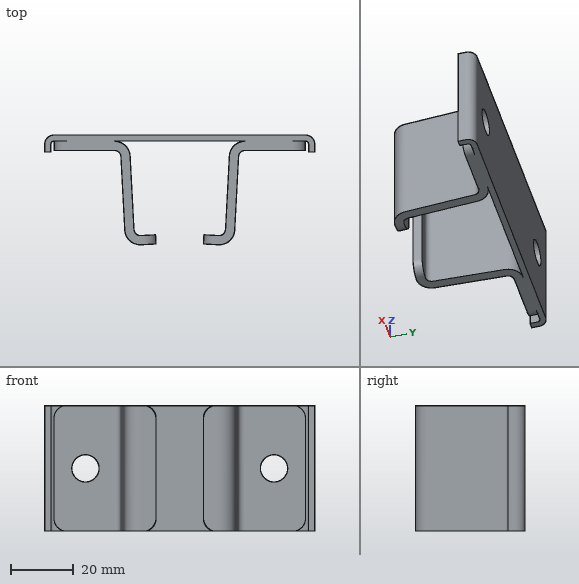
import cadquery as cq
import math

plate_width = 86.0
height = 40.0
plate_thickness = 2.0
plate_bend_inner_radius = 1.0
plate_bend_outer_radius = plate_bend_inner_radius + plate_thickness
lip_depth = 5.5

clip_thickness = 3.0
clip_bend_inner_radius = 2.0
clip_bend_outer_radius = clip_bend_inner_radius + clip_thickness
clip_corner_radius = 4.0
clip_lip_gap = 1.0
clip_front_y = -35.0
leg_tilt = math.radians(3.0)
upper_bend_x = -20.75
tip_opening = 15.0

hole_diameter = 8.6
hole_spacing = 60.0


def polar(center, radius, angle):
    """Point at the given radius and angle (radians) from a center."""
    return (center[0] + radius * math.cos(angle), center[1] + radius * math.sin(angle))


def make_plate():
    """Flat plate with rounded bends into the two end lips."""
    inner_width = plate_width - 2 * plate_thickness
    outer_block = (
        cq.Workplane("XY")
        .rect(plate_width, 2 * lip_depth)
        .extrude(height)
        .edges("|Z")
        .fillet(plate_bend_outer_radius)
        .translate((0, -lip_depth, 0))
    )
    channel = (
        cq.Workplane("XY")
        .rect(inner_width, 4 * lip_depth)
        .extrude(height)
        .edges("|Z")
        .fillet(plate_bend_inner_radius)
        .translate((0, -plate_thickness - 2 * lip_depth, 0))
    )
    depth_limit = (
        cq.Workplane("XY")
        .rect(plate_width, lip_depth)
        .extrude(height)
        .translate((0, -lip_depth / 2, 0))
    )
    return outer_block.intersect(depth_limit).cut(channel)


def make_left_clip():
    """Mounting flange, tilted leg and in-turned tip, with the free corners rounded."""
    flange_end_x = -plate_width / 2 + plate_thickness + clip_lip_gap
    flange_back_y = -plate_thickness
    flange_front_y = flange_back_y - clip_thickness

    upper = (upper_bend_x, flange_back_y - clip_bend_outer_radius)
    lower_y = clip_front_y + clip_bend_outer_radius
    center_offset = clip_bend_inner_radius + clip_bend_outer_radius
    leg_drop = upper[1] + center_offset * math.sin(leg_tilt) - lower_y
    leg_length = leg_drop / math.cos(leg_tilt)
    lower_x = upper[0] + center_offset * math.cos(leg_tilt) + leg_length * math.sin(leg_tilt)
    lower = (lower_x, lower_y)

    upper_start = math.pi / 2
    upper_end = leg_tilt
    upper_middle = (upper_start + upper_end) / 2
    lower_start = math.pi + leg_tilt
    lower_end = lower_start + math.pi / 2
    lower_middle = (lower_start + lower_end) / 2

    tip_start = polar(lower, clip_bend_outer_radius, lower_end)
    tip_length = (-tip_opening / 2 - tip_start[0]) / math.cos(leg_tilt)
    tip_front = polar(tip_start, tip_length, leg_tilt)
    tip_back = polar(tip_front, clip_thickness, leg_tilt + math.pi / 2)

    clip = (
        cq.Workplane("XY")
        .moveTo(flange_end_x, flange_back_y)
        .lineTo(*polar(upper, clip_bend_outer_radius, upper_start))
        .threePointArc(
            polar(upper, clip_bend_outer_radius, upper_middle),
            polar(upper, clip_bend_outer_radius, upper_end),
        )
        .lineTo(*polar(lower, clip_bend_inner_radius, lower_start))
        .threePointArc(
            polar(lower, clip_bend_inner_radius, lower_middle),
            polar(lower, clip_bend_inner_radius, lower_end),
        )
        .lineTo(*tip_back)
        .lineTo(*tip_front)
        .lineTo(*tip_start)
        .threePointArc(
            polar(lower, clip_bend_outer_radius, lower_middle),
            polar(lower, clip_bend_outer_radius, lower_start),
        )
        .lineTo(*polar(upper, clip_bend_inner_radius, upper_end))
        .threePointArc(
            polar(upper, clip_bend_inner_radius, upper_middle),
            polar(upper, clip_bend_inner_radius, upper_start),
        )
        .lineTo(flange_end_x, flange_front_y)
        .close()
        .extrude(height)
    )
    for end_face in ("<X", ">X"):
        clip = clip.faces(end_face).edges("not |Z").fillet(clip_corner_radius)
    return clip


def make_mounting_holes():
    """Cylinders through the full thickness of plate and flanges."""
    stack_thickness = plate_thickness + clip_thickness
    return (
        cq.Workplane("XZ")
        .pushPoints([(side * hole_spacing / 2, height / 2) for side in (-1, 1)])
        .circle(hole_diameter / 2)
        .extrude(stack_thickness)
    )


left_clip = make_left_clip()
right_clip = left_clip.mirror("YZ")
result = make_plate().union(left_clip).union(right_clip).cut(make_mounting_holes())